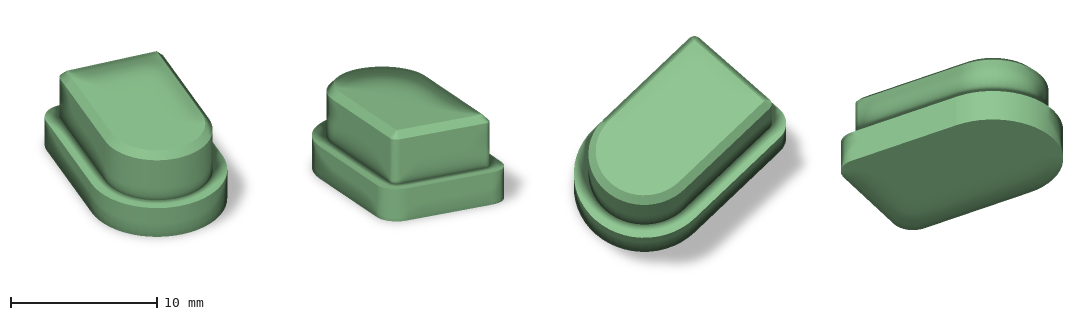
import cadquery as cq

length = 14.7
width = 9.61
height = 6.1
flange_height = 2.35
flange_corner_radius = 1.5
ledge = 1.0
top_chamfer = 0.5
chamfer_angle = 45.0

body_corner_radius = flange_corner_radius - ledge
nose_radius = width / 2
nose_center_x = length / 2 - nose_radius


def d_outline(inset, base_z):
    """D-shaped outline with a round +X nose and a square -X end, inset from the flange outline."""
    back_x = -length / 2 + inset
    radius = nose_radius - inset
    return (
        cq.Workplane("XY", origin=(0, 0, base_z))
        .moveTo(back_x, -radius)
        .lineTo(nose_center_x, -radius)
        .threePointArc((nose_center_x + radius, 0), (nose_center_x, radius))
        .lineTo(back_x, radius)
        .close()
    )


def rounded_block(inset, corner_radius, block_height):
    """D-shaped block standing on the base plane, with its two back corners rounded."""
    block = d_outline(inset, 0).extrude(block_height)
    return block.edges("|Z and <X").fillet(corner_radius)


flange = rounded_block(0, flange_corner_radius, flange_height)
body = rounded_block(ledge, body_corner_radius, height - top_chamfer)

cap = d_outline(ledge + top_chamfer, height).extrude(-top_chamfer, taper=-chamfer_angle)

result = flange.union(body).union(cap)